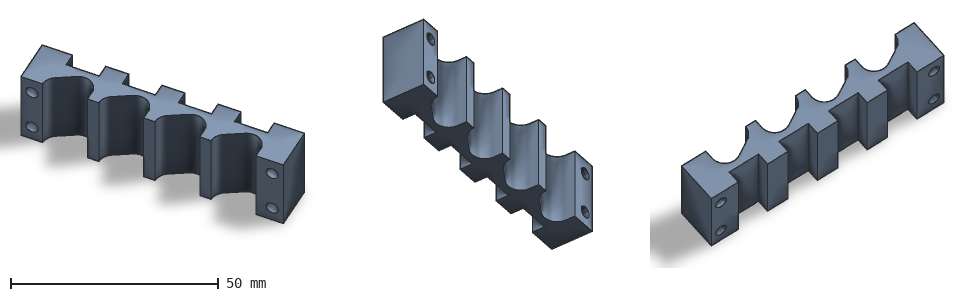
import cadquery as cq
import math

length = 70.0
depth = 12.0
height = 20.0

cell_count = 4
pitch = 15.0

pocket_start = 5.8
pocket_radius = 3.8
pocket_shift = 4.4
ramp_angle = math.radians(30)

slot_width = 8.8
slot_depth = 3.65
first_slot_center = (length - (cell_count - 1) * pitch) / 2

hole_diameter = 3.2
hole_end_distance = 2.95
hole_spacing = 11.75
hole_drop = 0.1


def front_pocket(start_x):
    """Full-height pocket with two equal arcs joined by a tangent ramp."""
    front_center_x = start_x + pocket_radius
    rear_center_x = front_center_x + pocket_shift
    rear_center_y = pocket_shift * math.tan(ramp_angle)
    right_x = rear_center_x + pocket_radius

    def on_arc(center_x, center_y, angle):
        return (
            center_x + pocket_radius * math.cos(angle),
            center_y + pocket_radius * math.sin(angle),
        )

    tangent_angle = math.pi / 2 + ramp_angle
    front_arc_middle = (math.pi + tangent_angle) / 2
    rear_arc_middle = tangent_angle / 2
    return (
        cq.Workplane("XY")
        .moveTo(start_x, 0)
        .threePointArc(
            on_arc(front_center_x, 0, front_arc_middle),
            on_arc(front_center_x, 0, tangent_angle),
        )
        .lineTo(*on_arc(rear_center_x, rear_center_y, tangent_angle))
        .threePointArc(
            on_arc(rear_center_x, rear_center_y, rear_arc_middle),
            (right_x, rear_center_y),
        )
        .lineTo(right_x, 0)
        .close()
        .extrude(height)
    )


def back_slot(center_x):
    """Full-height rectangular slot open at the back face."""
    return (
        cq.Workplane("XY")
        .center(center_x, depth - slot_depth / 2)
        .rect(slot_width, slot_depth)
        .extrude(height)
    )


def mounting_holes():
    """Four round holes running from front to back."""
    return (
        cq.Workplane("XZ", origin=(length / 2, 0, height / 2 - hole_drop))
        .rarray(length - 2 * hole_end_distance, hole_spacing, 2, 2)
        .circle(hole_diameter / 2)
        .extrude(-depth)
    )


result = cq.Workplane("XY").box(length, depth, height, centered=False)
for cell in range(cell_count):
    offset = cell * pitch
    result = result.cut(front_pocket(pocket_start + offset))
    result = result.cut(back_slot(first_slot_center + offset))
result = result.cut(mounting_holes())